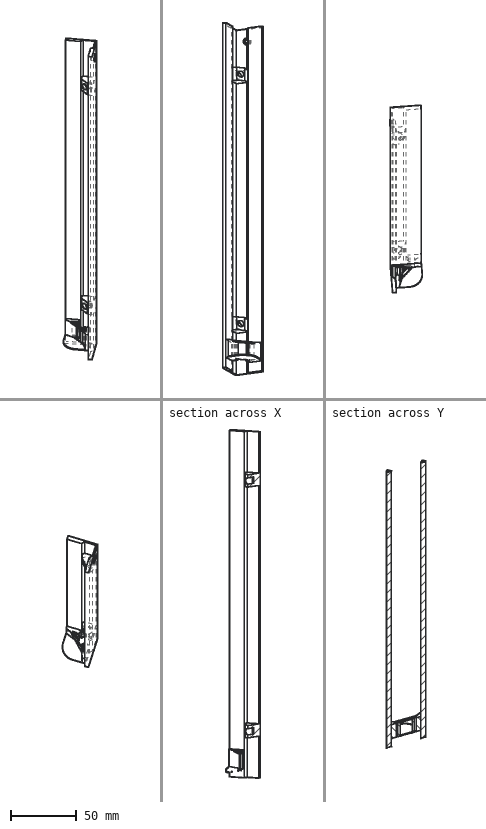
import cadquery as cq
import math

RAIL_LENGTH = 273.0
SHARP_HALF_WIDTH = 16.7
ROUNDED_HALF_WIDTH = 16.5
FLANGE_THICKNESS = 3.0
SPINE_THICKNESS = 1.0
SPINE_HALF_WIDTH = 6.3

BOSS_HEIGHTS = (38.0, 235.5)
BOSS_LENGTH = 10.0
BOSS_FACE_HALF_WIDTH = 3.3
BOSS_FACE_Y = -11.5
BOSS_SHOULDER_Y = -9.8
SCREW_HOLE_DIAMETER = 4.6
SCREW_HOLE_DEPTH = 5.5

EYELET_Z = 263.5
EYELET_OFFSET = 9.3
EYELET_BORE = 3.3
EYELET_RECESS = 4.6
EYELET_COLLAR = 6.0
COLLAR_HEIGHT = 0.8
RECESS_FLOOR_THICKNESS = 0.5

BRACKET_BOTTOM = 8.0
BRACKET_HEIGHT = 14.2
SHEET_THICKNESS = 0.8
BRACKET_BACK_Y = -16.7
BRACKET_FRONT_Y = -29.0
CROSSBAR_DEPTH = 1.6
WING_FRONT_X = 13.0
WING_TIP_X = 3.5
WING_TIP_FRONT_Y = -15.8
WING_NECK_X = 5.2
WING_NECK_FRONT_Y = -14.0
WING_NECK_BACK_Y = -11.5
WING_POCKET = ((6.3, -14.5), (8.7, -17.0), (5.0, -15.5))

DIAMOND_DEPTH = 2 * SHARP_HALF_WIDTH
FLANGE_DROP = FLANGE_THICKNESS * math.sqrt(2)
SPINE_DROP = SPINE_THICKNESS * math.sqrt(2)
FLANGE_INNER_X = SHARP_HALF_WIDTH - FLANGE_DROP / 2
FLANGE_INNER_Y = FLANGE_INNER_X - DIAMOND_DEPTH
STEP_BACK_Y = -SPINE_HALF_WIDTH - SPINE_DROP
STEP_FRONT_Y = -SPINE_HALF_WIDTH - FLANGE_DROP


def prism(outline, bottom, height):
    """Closed outline in XY, extruded upward from the given level."""
    return cq.Workplane("XY").workplane(offset=bottom).polyline(outline).close().extrude(height)


def mirrored(right_half):
    """Points of a right half, followed by their mirror images in reverse order."""
    return right_half + [(-x, y) for x, y in reversed(right_half) if x != 0]


def rail_profile():
    outer = [(0, 0), (SHARP_HALF_WIDTH, -SHARP_HALF_WIDTH), (FLANGE_INNER_X, FLANGE_INNER_Y)]
    step = [(SPINE_HALF_WIDTH, STEP_FRONT_Y), (SPINE_HALF_WIDTH, STEP_BACK_Y)]
    inner_edge = [(0, -SPINE_DROP)]
    left = [(-x, y) for x, y in reversed(outer[1:] + step)]
    return outer + step + inner_edge + left


def boss(center_z):
    outline = mirrored([
        (0, -SPINE_DROP / 2),
        (SPINE_HALF_WIDTH, -SPINE_HALF_WIDTH - SPINE_DROP / 2),
        (SPINE_HALF_WIDTH, BOSS_SHOULDER_Y),
        (BOSS_FACE_HALF_WIDTH, BOSS_FACE_Y),
    ])
    return prism(outline, center_z - BOSS_LENGTH / 2, BOSS_LENGTH)


def screw_hole(center_z):
    face = cq.Plane(origin=(0, BOSS_FACE_Y, center_z), xDir=(1, 0, 0), normal=(0, 1, 0))
    return cq.Workplane(face).circle(SCREW_HOLE_DIAMETER / 2).extrude(SCREW_HOLE_DEPTH)


def eyelet_cylinder(diameter, start, end):
    """Cylinder square to the +X wall; distances run outward from its outer face."""
    along = EYELET_OFFSET / math.sqrt(2)
    wall = cq.Plane(origin=(along, -along, EYELET_Z), xDir=(0, 0, 1), normal=(1, 1, 0))
    return cq.Workplane(wall).workplane(offset=start).circle(diameter / 2).extrude(end - start)


def make_rail():
    rail = prism(rail_profile(), 0, RAIL_LENGTH)
    corner_radius = (SHARP_HALF_WIDTH - ROUNDED_HALF_WIDTH) / (math.sqrt(2) - 1)
    rail = rail.edges("<X or >X").fillet(corner_radius)
    for center_z in BOSS_HEIGHTS:
        rail = rail.union(boss(center_z)).cut(screw_hole(center_z))
    rail = rail.union(eyelet_cylinder(EYELET_COLLAR, -RECESS_FLOOR_THICKNESS, COLLAR_HEIGHT))
    rail = rail.cut(eyelet_cylinder(EYELET_RECESS, -FLANGE_THICKNESS, -RECESS_FLOOR_THICKNESS))
    return rail.cut(eyelet_cylinder(EYELET_BORE, -FLANGE_THICKNESS, COLLAR_HEIGHT))


def bracket_floor():
    """Diamond-shaped floor whose front corner is rounded by a tangent arc."""
    nose_radius = (DIAMOND_DEPTH + BRACKET_FRONT_Y) / (math.sqrt(2) - 1)
    tangent_x = nose_radius / math.sqrt(2)
    tangent_y = tangent_x - DIAMOND_DEPTH
    back_x = -BRACKET_BACK_Y - FLANGE_DROP
    return (
        cq.Workplane("XY").workplane(offset=BRACKET_BOTTOM)
        .moveTo(-back_x, BRACKET_BACK_Y)
        .lineTo(back_x, BRACKET_BACK_Y)
        .lineTo(FLANGE_INNER_X, FLANGE_INNER_Y)
        .lineTo(tangent_x, tangent_y)
        .threePointArc((0, BRACKET_FRONT_Y), (-tangent_x, tangent_y))
        .lineTo(-FLANGE_INNER_X, FLANGE_INNER_Y)
        .close().extrude(SHEET_THICKNESS)
    )


def wing(side):
    """Wedge against the inner face of one flange; side is +1 or -1 along X."""
    outline = [
        (FLANGE_INNER_X, FLANGE_INNER_Y),
        (WING_FRONT_X, WING_FRONT_X - DIAMOND_DEPTH),
        (WING_TIP_X, WING_TIP_FRONT_Y),
        (WING_TIP_X, WING_NECK_FRONT_Y),
        (WING_NECK_X, WING_NECK_FRONT_Y),
        (WING_NECK_X, WING_NECK_BACK_Y),
        (-WING_NECK_BACK_Y - FLANGE_DROP, WING_NECK_BACK_Y),
    ]
    return prism([(side * x, y) for x, y in outline], BRACKET_BOTTOM, BRACKET_HEIGHT)


def wing_pocket(side):
    """Triangular pocket from the top of a wing down to the floor."""
    outline = [(side * x, y) for x, y in WING_POCKET]
    return prism(outline, BRACKET_BOTTOM + SHEET_THICKNESS, BRACKET_HEIGHT - SHEET_THICKNESS)


def crossbar():
    front_y = BRACKET_BACK_Y - CROSSBAR_DEPTH
    half_width = -BRACKET_BACK_Y - FLANGE_DROP
    outline = mirrored([(half_width, BRACKET_BACK_Y), (half_width, front_y)])
    return prism(outline, BRACKET_BOTTOM + BRACKET_HEIGHT - SHEET_THICKNESS, SHEET_THICKNESS)


def make_bracket():
    bracket = bracket_floor().union(crossbar())
    for side in (-1, 1):
        bracket = bracket.union(wing(side)).cut(wing_pocket(side))
    return bracket


rail = make_rail()
bracket = make_bracket()
result = cq.Compound.makeCompound([rail.val(), bracket.val()])